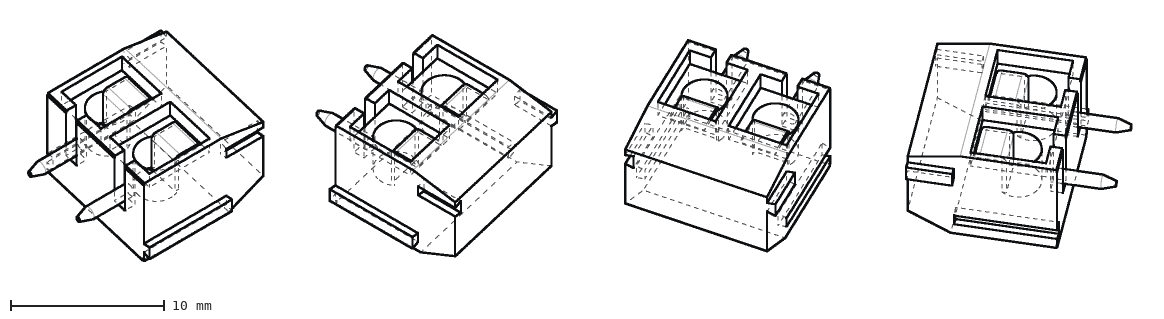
import cadquery as cq


pole_count = 2
body_width = 10.16
pitch = body_width / pole_count
body_depth = 9.92
body_height = 7.5
top_slope_start = 6.43
back_top_height = 6.75
base_slope_start = 7.06
back_base_height = 1.55

relief_depth = 0.05
relief_height = 0.19
corner_notch_width = 0.1

rail_depth = 0.6
rail_tip_height = 1.12
rail_root_height = 0.83
lower_rail_z = 1.3
upper_rail_z = 5.8
rail_split = 6.85

pocket_width = 4.14
pocket_front = 0.83
pocket_back = 5.83
pocket_floor = 6.2
wire_hole_radius = 1.51
wire_hole_y = 3.05
slot_width = 1.12
slot_bottom = 3.2
wire_hole_bottom = slot_bottom

clamp_width = 2.5
clamp_front = 3.62
clamp_length = 2.15
clamp_top = 6.5
clamp_round = 0.4

pin_radius = 0.48
pin_tip_radius = 0.19
pin_z = 4.19
pin_shank_length = 2.5
pin_tip_length = 0.93


def box(x_range, y_range, z_range):
    """Box spanning the given (low, high) limits along each axis."""
    sizes = [high - low for low, high in (x_range, y_range, z_range)]
    corner = (x_range[0], y_range[0], z_range[0])
    return cq.Workplane("XY").box(*sizes, centered=False).translate(corner)


def centred_range(centre, size):
    return (centre - size / 2, centre + size / 2)


def housing():
    profile = [
        (0, 0),
        (base_slope_start, 0),
        (body_depth, back_base_height),
        (body_depth, back_top_height),
        (top_slope_start, body_height),
        (relief_depth, body_height),
        (relief_depth, body_height - relief_height),
        (0, body_height - relief_height),
    ]
    return cq.Workplane("YZ").polyline(profile).close().extrude(body_width)


def corner_notch(x_start):
    return box((x_start, x_start + corner_notch_width), (0, relief_depth), (0, relief_height))


def dovetail(x_root, direction, z_centre, y_start, y_end):
    """Dovetail prism along Y, widening from x_root along direction (+1 or -1)."""
    x_tip = x_root + direction * rail_depth
    profile = [
        (x_root, z_centre - rail_root_height / 2),
        (x_tip, z_centre - rail_tip_height / 2),
        (x_tip, z_centre + rail_tip_height / 2),
        (x_root, z_centre + rail_root_height / 2),
    ]
    prism = cq.Workplane("XZ").polyline(profile).close().extrude(y_start - y_end)
    return prism.translate((0, y_start, 0))


def lower_rail(x_root, direction):
    return dovetail(x_root, direction, lower_rail_z, 0, rail_split)


def upper_rail(x_root, direction):
    return dovetail(x_root, direction, upper_rail_z, rail_split, body_depth)


def wire_entry(x_centre):
    """Space removed for one pole: pocket, round wire hole and front slot."""
    pocket = box(
        centred_range(x_centre, pocket_width),
        (pocket_front, pocket_back),
        (pocket_floor, body_height),
    )
    hole = (
        cq.Workplane("XY", origin=(x_centre, wire_hole_y, wire_hole_bottom))
        .circle(wire_hole_radius)
        .extrude(pocket_floor - wire_hole_bottom)
    )
    slot = box(
        centred_range(x_centre, slot_width),
        (0, pocket_front),
        (slot_bottom, body_height),
    )
    return pocket.union(hole).union(slot)


def clamp_bar(x_centre):
    """Bar with both long upper edges rounded, standing on the wire hole floor."""
    bar = box(
        centred_range(x_centre, clamp_width),
        (clamp_front, clamp_front + clamp_length),
        (wire_hole_bottom, clamp_top),
    )
    return bar.faces(">Z").edges("|X").fillet(clamp_round)


def solder_pin(x_centre):
    """Round pin with a conical tip, rooted in the back wall of the front slot."""
    tip_start = -pin_shank_length
    half_profile = [
        (0, pocket_front),
        (pin_radius, pocket_front),
        (pin_radius, tip_start),
        (pin_tip_radius, tip_start - pin_tip_length),
        (0, tip_start - pin_tip_length),
    ]
    pin = cq.Workplane("XY").polyline(half_profile).close().revolve(360, (0, 0, 0), (0, 1, 0))
    return pin.translate((x_centre, 0, pin_z))


block = housing()
for notch_x in (0, body_width - corner_notch_width):
    block = block.cut(corner_notch(notch_x))

block = block.cut(lower_rail(0, 1)).union(lower_rail(body_width, 1))
block = block.cut(upper_rail(body_width, -1)).union(upper_rail(0, -1))

for pole in range(pole_count):
    pole_x = (pole + 0.5) * pitch
    block = block.cut(wire_entry(pole_x))
    block = block.union(clamp_bar(pole_x)).union(solder_pin(pole_x))

result = block